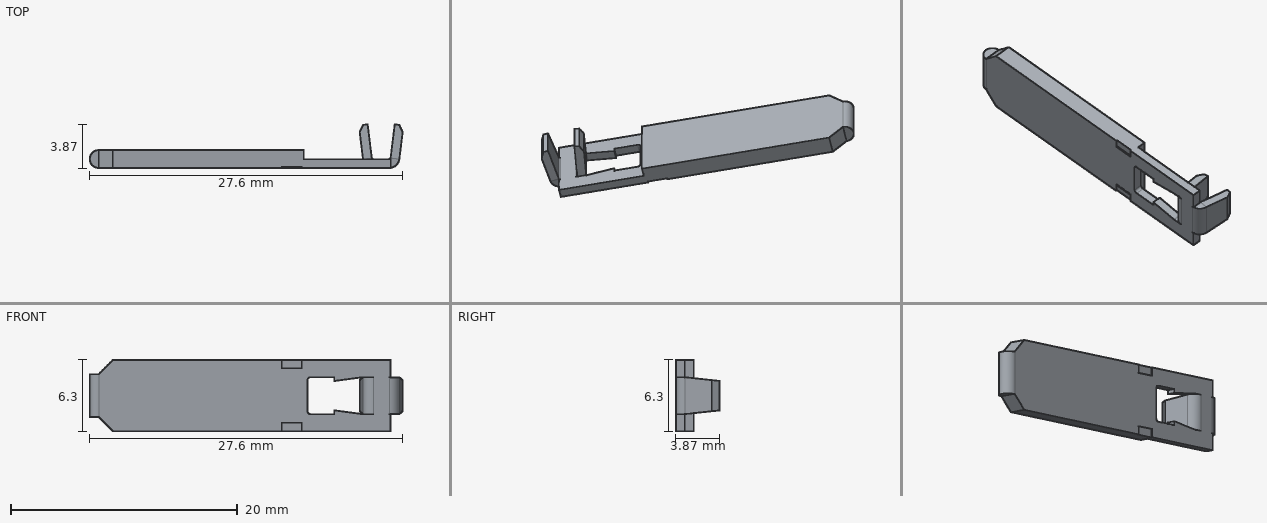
import cadquery as cq
import math


sheet = 0.8
strip_width = 6.3
overall_length = 27.64
overall_depth = 3.87
plate_end = 26.57
back_leaf_end = 18.92
corner_chamfer = 1.25
fold_width = strip_width - 2 * corner_chamfer

recess_start = 16.95
recess_length = 1.75
recess_width = 0.75
recess_depth = 0.1

tab_lean = 7.0
tab_taper = 6.0
tab_root_width = 3.25
bend_inner_radius = 0.12
bend_outer_radius = bend_inner_radius + sheet
tip_thickness = 0.42
inner_bend_x = 25.03

lean_sin = math.sin(math.radians(tab_lean))
lean_cos = math.cos(math.radians(tab_lean))
bend_centre_y = sheet + bend_inner_radius
tab_length = (overall_depth - bend_centre_y + bend_inner_radius * lean_sin) / lean_cos
lead_in_length = 0.6
shoulder_length = tab_length - lead_in_length
tab_reach = bend_outer_radius * lean_cos + shoulder_length * lean_sin
outer_bend_x = overall_length - tab_reach

window_start = 19.24
window_corner_radius = 0.25
window_step_x = 21.58
window_step_width = 2.56
window_taper_end = inner_bend_x - bend_outer_radius * lean_cos


def plate_box(x_start, x_end, y_start, y_end, z_start, z_end):
    """Box between two opposite corners."""
    size = (x_end - x_start, y_end - y_start, z_end - z_start)
    return cq.Workplane("XY").box(*size, centered=False).translate((x_start, y_start, z_start))


def make_leaf(end_x, y_start):
    """One leaf of the folded strip, with its corners cut off beside the fold."""
    half_width = strip_width / 2
    leaf = plate_box(sheet, end_x, y_start, y_start + sheet, -half_width, half_width)
    return leaf.edges("|Y and <X").chamfer(corner_chamfer)


def make_fold():
    """Half-round fold joining the two leaves."""
    return (
        cq.Workplane("XY", origin=(0, 0, -fold_width / 2))
        .moveTo(sheet, 0)
        .threePointArc((0, sheet), (sheet, 2 * sheet))
        .close()
        .extrude(fold_width)
    )


def make_window():
    """Cutter for the window: a square-ended pocket, then the tapered gap left by the inner tab."""
    half_root = tab_root_width / 2
    half_step = window_step_width / 2
    upper_edge = [
        (window_start, half_root),
        (window_step_x, half_root),
        (window_step_x, half_step),
        (window_taper_end, half_root),
        (inner_bend_x, half_root),
    ]
    lower_edge = [(x, -z) for x, z in reversed(upper_edge)]
    window = cq.Workplane("XZ").polyline(upper_edge + lower_edge).close().extrude(-sheet)
    return window.edges("|Y and <X").fillet(window_corner_radius)


def make_tab(bend_x, side):
    """Tab bent toward +Y from bend_x, leaning toward +X (side = 1) or -X (side = -1)."""

    def on_tab(offset, along):
        """Point at a distance from the bend centre across the tab and along it."""
        x = offset * lean_cos + along * lean_sin
        y = along * lean_cos - offset * lean_sin
        return bend_x + side * x, bend_centre_y + y

    def on_bend(radius):
        """Middle point of the bend arc of the given radius."""
        angle = math.radians((90 + tab_lean) / 2)
        return bend_x + side * radius * math.cos(angle), bend_centre_y - radius * math.sin(angle)

    half_root = tab_root_width / 2
    bend = (
        cq.Workplane("XY", origin=(0, 0, -half_root))
        .moveTo(bend_x, 0)
        .threePointArc(on_bend(bend_outer_radius), on_tab(bend_outer_radius, 0))
        .lineTo(*on_tab(bend_inner_radius, 0))
        .threePointArc(on_bend(bend_inner_radius), (bend_x, sheet))
        .close()
        .extrude(tab_root_width)
    )

    side_profile = [
        on_tab(bend_inner_radius, 0),
        on_tab(bend_outer_radius, 0),
        on_tab(bend_outer_radius, shoulder_length),
        on_tab(bend_inner_radius + tip_thickness, tab_length),
        on_tab(bend_inner_radius, tab_length),
    ]
    blade = (
        cq.Workplane("XY", origin=(0, 0, -half_root))
        .polyline(side_profile)
        .close()
        .extrude(tab_root_width)
    )

    half_tip = half_root - tab_length * math.tan(math.radians(tab_taper))
    tab_plane = cq.Plane(
        origin=(bend_x, bend_centre_y, 0),
        xDir=(side * lean_sin, lean_cos, 0),
        normal=(side * lean_cos, -lean_sin, 0),
    )
    outline = (
        cq.Workplane(tab_plane)
        .polyline([(0, -half_root), (tab_length, -half_tip), (tab_length, half_tip), (0, half_root)])
        .close()
        .extrude(bend_outer_radius)
    )
    return bend.union(blade.intersect(outline))


def make_outer_notch():
    """Cutter that shortens the front leaf to the start of the outer tab's bend."""
    half_root = tab_root_width / 2
    return plate_box(outer_bend_x, plate_end, 0, sheet, -half_root, half_root)


def make_recess(side):
    """Cutter for the edge recess on the +Z (side = 1) or -Z (side = -1) edge."""
    centre_z = side * (strip_width - recess_width) / 2
    half_width = recess_width / 2
    recess_end = recess_start + recess_length
    return plate_box(recess_start, recess_end, 0, recess_depth, centre_z - half_width, centre_z + half_width)


front_leaf = make_leaf(plate_end, 0).cut(make_window()).cut(make_outer_notch())
for edge_side in (-1, 1):
    front_leaf = front_leaf.cut(make_recess(edge_side))

result = (
    front_leaf
    .union(make_leaf(back_leaf_end, sheet))
    .union(make_fold())
    .union(make_tab(inner_bend_x, -1))
    .union(make_tab(outer_bend_x, 1))
)